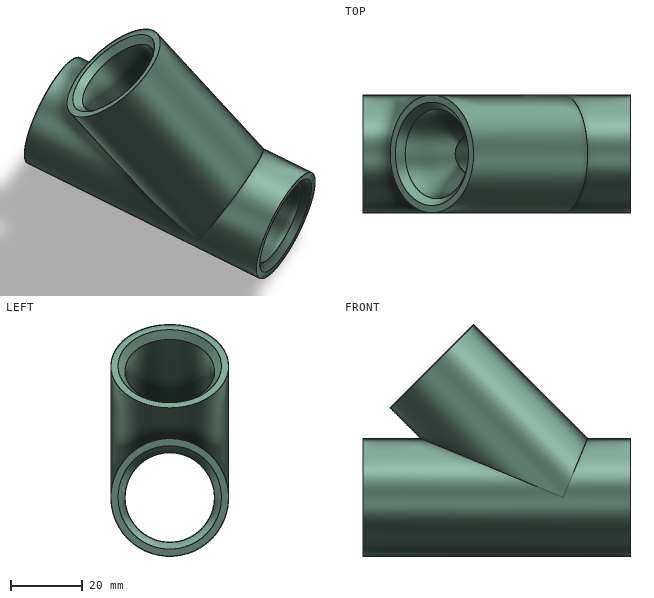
import cadquery as cq
import math

run_length = 75.0
outer_radius = 16.5
bore_radius = 12.5
mouth_bevel = 1.95
branch_length = 52.0
branch_angle = math.radians(45)
junction_x = 18.6

run_direction = cq.Vector(1, 0, 0)
run_start = run_direction * (-run_length / 2)
run_end = run_direction * (run_length / 2)
branch_direction = cq.Vector(-math.cos(branch_angle), 0, math.sin(branch_angle))
junction = cq.Vector(junction_x, 0, 0)
branch_end = junction + branch_direction * branch_length


def cylinder(radius, length, start, direction):
    return cq.Workplane(cq.Solid.makeCylinder(radius, length, start, direction))


def mouth_cone(mouth_center, inward):
    """Conical cutter that widens a bore at its open end."""
    mouth_radius = bore_radius + mouth_bevel
    return cq.Workplane(
        cq.Solid.makeCone(mouth_radius, bore_radius, mouth_bevel, mouth_center, inward)
    )


run = cylinder(outer_radius, run_length, run_start, run_direction)
branch = cylinder(outer_radius, branch_length, junction, branch_direction)
body = run.union(branch)

body = body.cut(cylinder(bore_radius, run_length, run_start, run_direction))
body = body.cut(cylinder(bore_radius, branch_length, junction, branch_direction))

mouths = [
    (run_start, run_direction),
    (run_end, -run_direction),
    (branch_end, -branch_direction),
]
for mouth_center, inward in mouths:
    body = body.cut(mouth_cone(mouth_center, inward))

result = body